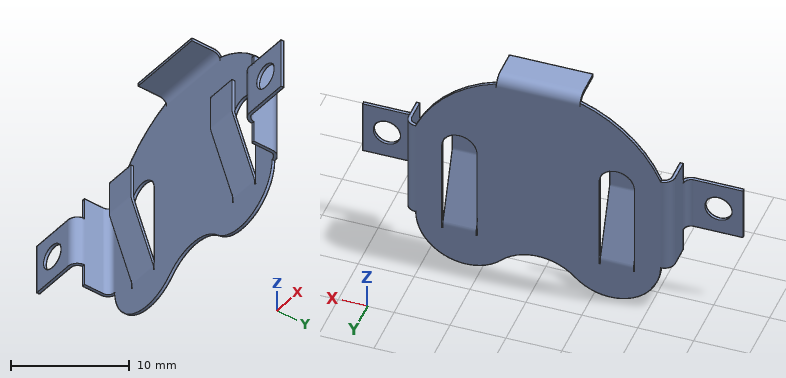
import cadquery as cq
import math

sheet = 0.3
bend_outer = 1.0
bend_inner = bend_outer - sheet
overlap = 0.35

plate_radius = 11.95
wall_x = 11.95
plate_half_width = wall_x - bend_outer
bottom_z = -9.18
lobe_radius = 4.5
notch_top_z = -6.53

tab_width = 7.48
tab_reach = 3.3

overall_length = 34.0
overall_depth = 3.95
wall_height = 9.42
lug_height = 5.1
lug_hole_x = 14.83
lug_hole_diameter = 2.4

spring_x = 7.05
spring_width = 3.0
spring_reach = 2.7
spring_tip_z = 4.5
spring_upper_bend_z = 0.95
spring_lower_bend_z = -5.37
slot_width = 3.15
slot_top_z = 4.73
slot_bottom_z = -5.78


def bent_strip(plane, path, width):
    """Sheet strip lying to the left of a path of face points, with every bend rounded."""
    directions = []
    for (u0, v0), (u1, v1) in zip(path, path[1:]):
        length = math.hypot(u1 - u0, v1 - v0)
        directions.append(((u1 - u0) / length, (v1 - v0) / length))
    befores = directions[:1] + directions
    afters = directions + directions[-1:]

    far_face = []
    for (u, v), before, after in zip(path, befores, afters):
        mitre = sheet / (1 + before[0] * after[0] + before[1] * after[1])
        far_face.append((u - mitre * (before[1] + after[1]), v + mitre * (before[0] + after[0])))

    workplane = cq.Workplane(plane)
    strip = workplane.polyline(path + far_face[::-1]).close().extrude(width / 2, both=True)

    for i in range(1, len(path) - 1):
        before = befores[i]
        after = afters[i]
        turns_left = before[0] * after[1] - before[1] * after[0] > 0
        near_radius = bend_outer if turns_left else bend_inner
        far_radius = bend_inner if turns_left else bend_outer
        for corner, radius in ((path[i], near_radius), (far_face[i], far_radius)):
            corner_point = workplane.plane.toWorldCoords(corner).toTuple()
            strip = strip.edges(cq.selectors.NearestToPointSelector(corner_point)).fillet(radius)
    return strip


def make_plate():
    """Round plate with two lobes at the bottom and a notch between them."""
    lobe_x = plate_half_width - lobe_radius
    lobe_z = bottom_z + lobe_radius
    rise = lobe_z - notch_top_z
    notch_radius = (lobe_x**2 + rise**2 - lobe_radius**2) / (2 * (lobe_radius - rise))
    notch_z = notch_top_z - notch_radius
    share = notch_radius / (notch_radius + lobe_radius)
    join_x = share * lobe_x
    join_z = notch_z + share * (lobe_z - notch_z)

    tab_x = tab_width / 2
    tab_root_z = plate_radius - bend_outer
    arc_top_z = math.sqrt(plate_radius**2 - tab_x**2)
    arc_end_z = math.sqrt(plate_radius**2 - plate_half_width**2)
    arc_middle = plate_radius * math.sqrt(0.5)

    return (
        cq.Workplane("XZ")
        .moveTo(-tab_x, tab_root_z)
        .lineTo(tab_x, tab_root_z)
        .lineTo(tab_x, arc_top_z)
        .threePointArc((arc_middle, arc_middle), (plate_half_width, arc_end_z))
        .lineTo(plate_half_width, lobe_z)
        .threePointArc((lobe_x, bottom_z), (join_x, join_z))
        .threePointArc((0, notch_top_z), (-join_x, join_z))
        .threePointArc((-lobe_x, bottom_z), (-plate_half_width, lobe_z))
        .lineTo(-plate_half_width, arc_end_z)
        .threePointArc((-arc_middle, arc_middle), (-tab_x, arc_top_z))
        .close()
        .extrude(sheet)
    )


def make_slot(x):
    """Cutter for a spring slot: square at the bottom, fully round at the top."""
    half = slot_width / 2
    return (
        cq.Workplane("XZ")
        .moveTo(x - half, slot_bottom_z)
        .lineTo(x + half, slot_bottom_z)
        .lineTo(x + half, slot_top_z - half)
        .threePointArc((x, slot_top_z), (x - half, slot_top_z - half))
        .close()
        .extrude(sheet)
    )


def make_spring(x):
    """Spring finger that leans out of its slot and ends parallel to the plate."""
    front_face = [
        (-spring_reach, spring_tip_z),
        (-spring_reach, spring_upper_bend_z),
        (-sheet, spring_lower_bend_z),
        (-sheet, slot_bottom_z),
    ]
    return bent_strip("YZ", front_face, spring_width).translate((x, 0, 0))


def make_top_tab():
    """Tab folded forward from the top of the plate."""
    outer_face = [
        (0, plate_radius - bend_outer - overlap),
        (0, plate_radius),
        (-tab_reach, plate_radius),
    ]
    return bent_strip("YZ", outer_face, tab_width)


def make_left_bracket():
    """Side wall with a narrower mounting lug folded outward from its front edge."""
    lug_back_y = sheet - overall_depth
    lug_end_x = -overall_length / 2
    outer_face = [
        (overlap - plate_half_width, 0),
        (-wall_x, 0),
        (-wall_x, lug_back_y),
        (lug_end_x, lug_back_y),
    ]
    bracket = bent_strip("XY", outer_face, wall_height)

    trim_height = (wall_height - lug_height) / 2
    trim_z = (wall_height + lug_height) / 4
    trim_back_y = bend_outer - overall_depth
    for z in (-trim_z, trim_z):
        trim = cq.Workplane("XY").box(
            overall_length, overall_depth, trim_height
        ).translate((0, trim_back_y - overall_depth / 2, z))
        bracket = bracket.cut(trim)

    hole = (
        cq.Workplane("XZ", origin=(-lug_hole_x, 0, 0))
        .circle(lug_hole_diameter / 2)
        .extrude(overall_depth)
    )
    return bracket.cut(hole)


left_bracket = make_left_bracket()
result = make_plate().union(make_top_tab())
result = result.union(left_bracket).union(left_bracket.mirror("YZ"))
for side in (-1, 1):
    result = result.cut(make_slot(side * spring_x))
    result = result.union(make_spring(side * spring_x))